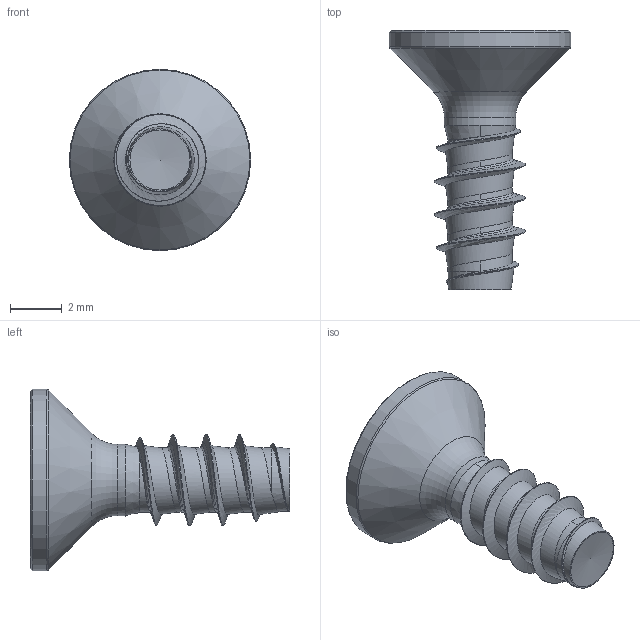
import cadquery as cq
import math

length = 10.0

head_radius = 3.5
head_rim_depth = 0.66
cone_angle = math.radians(45)
head_face_chamfer = 0.07
head_corner_fillet = 0.1

shank_radius = 1.375
neck_fillet = 1.4
shank_end_depth = 3.66
core_start_depth = 4.22

core_radius = 1.24
tip_taper_depth = 9.3
tip_radius = 1.2
dimple_radius = 1.16
dimple_depth = 0.1

pitch = 1.287
first_crest_depth = 3.57
last_turn = 5.25
crest_radius = 1.76
crest_width = 0.03
run_in_turns = 1.0
run_in_drop = 0.26
run_out_start = 3.55
run_out_drop_per_turn = 0.38
leading_flank_foot = 0.25
trailing_flank_foot = 0.18
trailing_foot_radius = 1.3
leading_flank_middle = 0.17
leading_flank_top = 0.1
hollow_foot_radius = 1.23
hollow_middle_radius = 1.3
hollow_top_radius = 1.43
buried_radius = 0.7
points_per_turn = 12

land_peak_radius = 1.35
land_reach = 0.82
land_sink_start = 4.1
land_sink_per_turn = 0.15
land_overrun = 0.06


def arc_point(center, radius, angle):
    """Point on a circle at the given angle from the radial direction."""
    return (center[0] + radius * math.cos(angle), center[1] + radius * math.sin(angle))


def make_body():
    """Head, neck, shank and core as one solid of revolution."""
    half_angle = cone_angle / 2
    neck_corner_depth = head_rim_depth + (head_radius - shank_radius) / math.tan(cone_angle)
    neck_tangent = neck_fillet * math.tan(half_angle)
    neck_center = (shank_radius + neck_fillet, -(neck_corner_depth + neck_tangent))
    neck_middle = arc_point(neck_center, neck_fillet, math.pi - half_angle)
    neck_top = arc_point(neck_center, neck_fillet, math.pi - cone_angle)
    corner_tangent = head_corner_fillet * math.tan(half_angle)
    corner_center = (head_radius - head_corner_fillet, -(head_rim_depth - corner_tangent))
    corner_middle = arc_point(corner_center, head_corner_fillet, -half_angle)
    corner_bottom = arc_point(corner_center, head_corner_fillet, -cone_angle)
    outline = (
        cq.Workplane("ZY")
        .moveTo(0, 0)
        .lineTo(head_radius - head_face_chamfer, 0)
        .lineTo(head_radius, -head_face_chamfer)
        .lineTo(head_radius, corner_center[1])
        .threePointArc(corner_middle, corner_bottom)
        .lineTo(*neck_top)
        .threePointArc(neck_middle, (shank_radius, neck_center[1]))
        .lineTo(shank_radius, -shank_end_depth)
        .lineTo(core_radius, -core_start_depth)
        .lineTo(core_radius, -tip_taper_depth)
        .lineTo(tip_radius, -length)
        .lineTo(0, -length)
        .close()
    )
    return outline.revolve(360, (0, 0, 0), (0, 1, 0))


def crest_drop(turn):
    """How far the tooth is sunk into the core at the given turn."""
    run_in = run_in_drop * max(0, 1 - turn / run_in_turns)
    run_out = run_out_drop_per_turn * max(0, turn - run_out_start)
    return run_in + run_out


def land_drop(turn):
    """How far the land is sunk into the core at the given turn."""
    return land_sink_per_turn * max(0, turn - land_sink_start)


def helix_edge(offset, radius, drop):
    """Right-hand helical edge; offset is the axial distance from the crest towards the tip."""
    points = []
    for step in range(round(last_turn * points_per_turn) + 1):
        turn = step / points_per_turn
        angle = 2 * math.pi * turn
        depth = first_crest_depth + pitch * turn + offset
        local_radius = radius - drop(turn)
        points.append(cq.Vector(local_radius * math.sin(angle), -depth, -local_radius * math.cos(angle)))
    return cq.Edge.makeSpline(points)


def helical_ridge(profile, drop):
    """Solid swept by a closed profile of (offset, radius) corners along the thread."""
    edges = [helix_edge(offset, radius, drop) for offset, radius in profile]
    faces = []
    for edge, following in zip(edges, edges[1:] + edges[:1]):
        faces.append(cq.Face.makeRuledSurface(edge, following))
    for end in (0, 1):
        corners = [edge.positionAt(end) for edge in edges]
        faces.append(cq.Face.makeFromWires(cq.Wire.makePolygon(corners, close=True)))
    return cq.Workplane(cq.Solid.makeSolid(cq.Shell.makeShell(faces)))


def make_tooth():
    """Sharp tooth with a hollow flank facing the head."""
    return helical_ridge(
        [
            (-leading_flank_foot, buried_radius),
            (-leading_flank_foot, hollow_foot_radius),
            (-leading_flank_middle, hollow_middle_radius),
            (-leading_flank_top, hollow_top_radius),
            (-crest_width / 2, crest_radius),
            (crest_width / 2, crest_radius),
            (trailing_flank_foot, trailing_foot_radius),
            (trailing_flank_foot, buried_radius),
        ],
        crest_drop,
    )


def make_land():
    """Shallow cone between one turn of the tooth and the next."""
    land_slope = (land_peak_radius - core_radius) / land_reach
    land_end = land_reach + land_overrun
    return helical_ridge(
        [
            (0, buried_radius),
            (0, land_peak_radius),
            (land_end, land_peak_radius - land_slope * land_end),
            (land_end, buried_radius),
        ],
        land_drop,
    )


def make_dimple():
    """Shallow conical hollow in the tip."""
    return (
        cq.Workplane("ZY")
        .moveTo(0, -length)
        .lineTo(dimple_radius, -length)
        .lineTo(0, -length + dimple_depth)
        .close()
        .revolve(360, (0, 0, 0), (0, 1, 0))
    )


def thread_space():
    """Cylinder spanning the threaded length, used to trim the ridges."""
    return (
        cq.Workplane("XZ", origin=(0, -shank_end_depth, 0))
        .circle(head_radius)
        .extrude(length - shank_end_depth)
    )


result = make_body()
for ridge in (make_tooth(), make_land()):
    result = result.union(ridge.intersect(thread_space()))
result = result.cut(make_dimple())